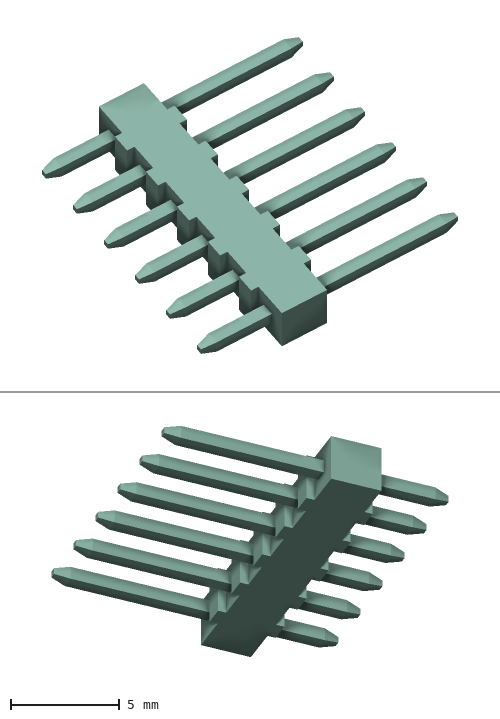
import cadquery as cq


body_length = 14.99
body_depth = 2.5
body_height = 2.35

rib_width = 1.0
rib_projection = 0.4

pin_count = 6
pin_row_span = 12.7
pin_width = 0.66
pin_length = 14.23
pin_front_projection = 3.8
tip_width = 0.31
tip_length = 0.75

pin_pitch = pin_row_span / (pin_count - 1)
first_pin_x = -pin_row_span / 2
pin_front_y = -body_depth / 2 - pin_front_projection
shank_front_y = pin_front_y + tip_length
shank_rear_y = pin_front_y + pin_length - tip_length


def make_body():
    """Rectangular bar with a full-height rib midway between each two pins."""
    body = cq.Workplane("XY").box(body_length, body_depth, body_height)
    rib_depth = body_depth + 2 * rib_projection
    for index in range(pin_count - 1):
        rib_x = first_pin_x + (index + 0.5) * pin_pitch
        rib = cq.Workplane("XY").box(rib_width, rib_depth, body_height)
        body = body.union(rib.translate((rib_x, 0, 0)))
    return body


def make_tip(base_y, direction):
    """Truncated pyramid narrowing from base_y along +Y (1) or -Y (-1)."""
    base_plane = cq.Plane(origin=(0, base_y, 0), xDir=(1, 0, 0), normal=(0, direction, 0))
    return (
        cq.Workplane(base_plane)
        .rect(pin_width, pin_width)
        .workplane(offset=tip_length)
        .rect(tip_width, tip_width)
        .loft(ruled=True)
    )


def make_pin():
    """Square shank with a tapered tip at each end."""
    shank_length = shank_rear_y - shank_front_y
    shank_middle_y = (shank_front_y + shank_rear_y) / 2
    shank = cq.Workplane("XY").box(pin_width, shank_length, pin_width)
    pin = shank.translate((0, shank_middle_y, 0))
    return pin.union(make_tip(shank_front_y, -1)).union(make_tip(shank_rear_y, 1))


result = make_body()
pin = make_pin()
for index in range(pin_count):
    result = result.union(pin.translate((first_pin_x + index * pin_pitch, 0, 0)))